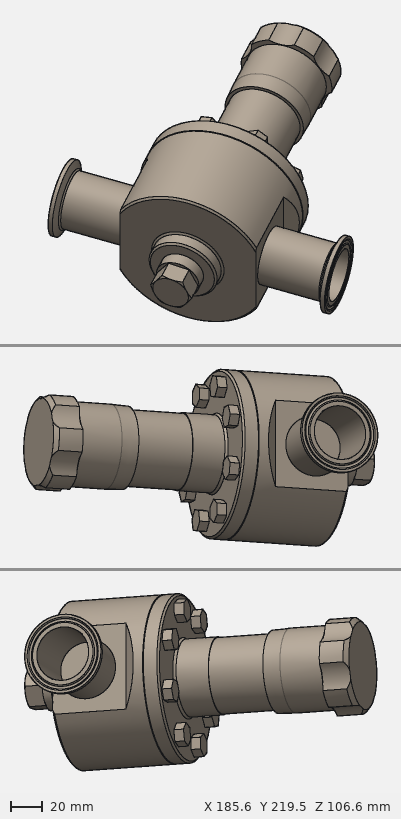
import cadquery as cq
import math


knob_end_y = 167.2
knob_base_y = 148.5
barrel_taper_y = 121.4
barrel_end_y = 110.0
neck_step_y = 73.3
cover_top_y = 50.3
cover_joint_y = 39.7
body_end_y = -22.4
hub_end_y = -31.8
stub_end_y = -40.0
plug_end_y = knob_end_y - 219.5

knob_radius = 30.5
knob_bevel = 2.9
flute_count = 6
flute_depth = 3.3
flute_span = 33
flute_angle = 23.4

barrel_radius = 26.8
barrel_end_radius = 26.3
neck_radius = 24.1
neck_foot_radius = 24.5
neck_collar_radius = 25.7
neck_collar_height = 1.8

body_radius = 53.3
body_bevel = 1.3
joint_gap = 0.5
joint_depth = 0.2
flat_half_width = 45.6
flat_start_y = 26.0
flat_runout_y = 33.4

hub_radius = 22.8
hub_bevel = 1.3
hub_foot_radius = 24.4
hub_foot_height = 0.9
stub_radius = 14.3
plug_corner_radius = 13.8
plug_turn = -3.7
plug_bevel_angle = 30

bolt_count = 8
bolt_circle_radius = 43.0
bolt_corner_radius = 7.5
bolt_head_height = 6.4
bolt_turn = 21.5

port_end_x = 92.8
tube_radius = 19.0
bore_radius = 17.1
ferrule_radius = 25.2
ferrule_rim = 2.9
ferrule_length = 6.1
ferrule_root_x = 5.0
ferrule_root_radius = 20.2
groove_inner_radius = 20.0
groove_outer_radius = 23.5
groove_lip_width = 0.9
groove_lip_depth = 0.5
groove_depth = 1.0


def disc(radius, start_y, end_y):
    """Cylinder about the Y axis between two stations."""
    return cq.Workplane("XZ", origin=(0, end_y, 0)).circle(radius).extrude(end_y - start_y)


def hex_prism(x, z, corner_radius, turn, start_y, end_y):
    """Hexagonal prism along Y with one corner at the given angle from +X towards +Z."""
    corners = []
    for i in range(6):
        angle = math.radians(turn + 60 * i)
        corners.append((x + corner_radius * math.cos(angle), z + corner_radius * math.sin(angle)))
    return cq.Workplane("XZ", origin=(0, end_y, 0)).polyline(corners).close().extrude(end_y - start_y)


def revolve_about_y(profile):
    return profile.close().revolve(360, (0, 0, 0), (0, 1, 0))


def make_knob():
    knob = disc(knob_radius, knob_base_y, knob_end_y).faces(">Y").chamfer(knob_bevel)
    half_flute = math.radians(flute_span / 2)
    half_chord = knob_radius * math.sin(half_flute)
    sagitta = flute_depth - knob_radius * (1 - math.cos(half_flute))
    cutter_radius = (half_chord**2 + sagitta**2) / (2 * sagitta)
    cutter_centre = knob_radius - flute_depth + cutter_radius
    for i in range(flute_count):
        angle = math.radians(180 - flute_angle + i * 360 / flute_count)
        cutter = disc(cutter_radius, knob_base_y, knob_end_y)
        offset = (cutter_centre * math.cos(angle), 0, cutter_centre * math.sin(angle))
        knob = knob.cut(cutter.translate(offset))
    return knob


def make_barrel_and_neck():
    collar_top_y = cover_top_y + neck_collar_height
    profile = cq.Workplane("XY").polyline([
        (0, body_end_y),
        (neck_collar_radius, body_end_y),
        (neck_collar_radius, cover_top_y),
        (neck_foot_radius, collar_top_y),
        (neck_foot_radius, neck_step_y),
        (neck_radius, neck_step_y),
        (neck_radius, barrel_end_y),
        (barrel_end_radius, barrel_end_y),
        (barrel_radius, barrel_taper_y),
        (barrel_radius, knob_base_y),
        (0, knob_base_y),
    ])
    return revolve_about_y(profile)


def make_body():
    body = disc(body_radius, body_end_y, cover_top_y).faces("<Y or >Y").chamfer(body_bevel)
    joint = disc(body_radius, cover_joint_y - joint_gap / 2, cover_joint_y + joint_gap / 2)
    joint_core = disc(body_radius - joint_depth, cover_joint_y - joint_gap, cover_joint_y + joint_gap)
    body = body.cut(joint.cut(joint_core))
    side = cq.Workplane("XY").polyline([
        (flat_half_width, body_end_y),
        (flat_half_width, flat_start_y),
        (body_radius, flat_runout_y),
        (body_radius, body_end_y),
    ]).close().extrude(body_radius, both=True)
    return body.cut(side).cut(side.mirror("YZ"))


def make_hub_and_stub():
    profile = cq.Workplane("XY").polyline([
        (0, body_end_y),
        (hub_foot_radius, body_end_y),
        (hub_radius, body_end_y - hub_foot_height),
        (hub_radius, hub_end_y + hub_bevel),
        (hub_radius - hub_bevel, hub_end_y),
        (stub_radius, hub_end_y),
        (stub_radius, stub_end_y),
        (0, stub_end_y),
    ])
    return revolve_about_y(profile)


def make_plug():
    plug = hex_prism(0, 0, plug_corner_radius, plug_turn, plug_end_y, stub_end_y)
    tip_radius = plug_corner_radius * math.cos(math.pi / 6)
    bevel_height = (plug_corner_radius - tip_radius) * math.tan(math.radians(plug_bevel_angle))
    envelope = revolve_about_y(cq.Workplane("XY").polyline([
        (0, plug_end_y),
        (tip_radius, plug_end_y),
        (plug_corner_radius, plug_end_y + bevel_height),
        (plug_corner_radius, stub_end_y),
        (0, stub_end_y),
    ]))
    return plug.intersect(envelope)


def make_bolts():
    pitch = 360 / bolt_count
    head_top_y = cover_top_y + bolt_head_height
    bolts = cq.Workplane("XY")
    for i in range(bolt_count):
        angle = (i + 0.5) * pitch
        x = bolt_circle_radius * math.cos(math.radians(angle))
        z = bolt_circle_radius * math.sin(math.radians(angle))
        bolts = bolts.add(
            hex_prism(x, z, bolt_corner_radius, angle + bolt_turn, cover_joint_y + joint_gap, head_top_y)
        )
    return bolts.combine()


def make_port():
    """Port on the +X side: tube, clamp ferrule and bevelled seal groove, bored down to the body flat."""
    end = port_end_x
    lip_x = end - groove_lip_depth
    groove_middle = (groove_inner_radius + groove_outer_radius) / 2
    profile = (
        cq.Workplane("XY")
        .moveTo(0, 0)
        .lineTo(flat_half_width, 0)
        .lineTo(flat_half_width, bore_radius)
        .lineTo(end, bore_radius)
        .lineTo(end, groove_inner_radius)
        .lineTo(lip_x, groove_inner_radius + groove_lip_width)
        .threePointArc((end - groove_depth, groove_middle), (lip_x, groove_outer_radius - groove_lip_width))
        .lineTo(end, groove_outer_radius)
        .lineTo(end, ferrule_radius)
        .lineTo(end - ferrule_rim, ferrule_radius)
        .lineTo(end - ferrule_root_x, ferrule_root_radius)
        .lineTo(end - ferrule_length, tube_radius)
        .lineTo(0, tube_radius)
        .close()
    )
    return profile.revolve(360, (0, 0, 0), (1, 0, 0))


port = make_port()
result = make_body()
for feature in (
    make_barrel_and_neck(),
    make_knob(),
    make_hub_and_stub(),
    make_plug(),
    make_bolts(),
    port,
    port.mirror("YZ"),
):
    result = result.union(feature)